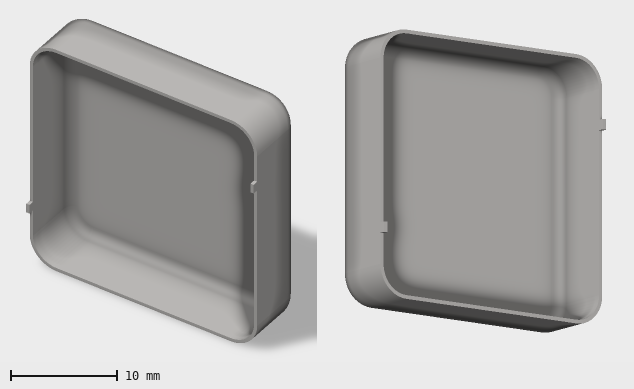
import cadquery as cq

side = 25.7
depth = 6.5
wall = 0.35
corner_radius = 3.0
floor_radius = 1.3

tab_length = 1.0
tab_height = 0.6
tab_offset = 6.4


def rounded_block(width, length, upright_radius, end_radius):
    """Square block from the rim plane Y=0 toward +Y, rounded at its far end."""
    block = cq.Workplane("XY").box(width, length, width).translate((0, length / 2, 0))
    return block.edges("|Y").fillet(upright_radius).faces(">Y").edges().fillet(end_radius)


def rim_tab(direction):
    """Tab as thick as the wall, on the +X (1) or -X (-1) wall; it overlaps the wall to join it."""
    overlap = wall
    length_y = tab_height + overlap
    tab = cq.Workplane("XY").box(wall, length_y, tab_length)
    x = direction * (side - wall) / 2
    y = overlap - length_y / 2
    return tab.translate((x, y, direction * tab_offset))


outer = rounded_block(side, depth, corner_radius, floor_radius)
cavity = rounded_block(side - 2 * wall, depth - wall, corner_radius - wall, floor_radius - wall)
result = outer.cut(cavity)

for direction in (-1, 1):
    result = result.union(rim_tab(direction))